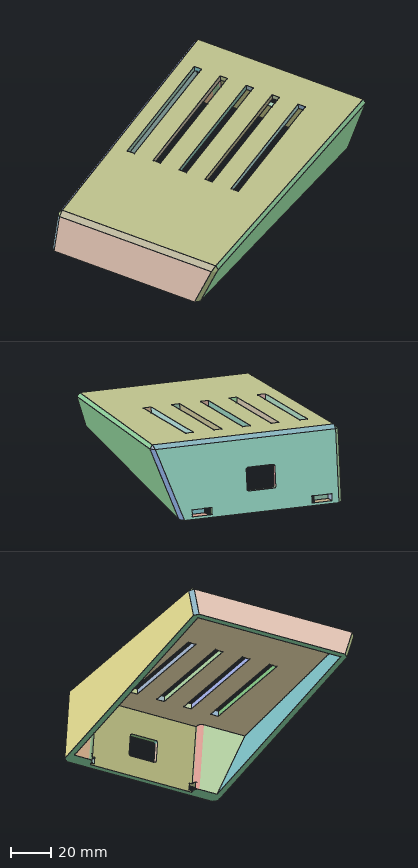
import cadquery as cq
import math

length = 148.0
bottom_width = 85.1
rear_height = 39.4
top_slope = 8.0
rear_lean = top_slope
front_lean = 16.5
right_lean = 20.0
wall = 3.0
edge_chamfer = 2.0

slot_count = 5
slot_width = 4.1
slot_length = 66.0
slot_pitch = 15.0
slot_middle_x = 42.0
slot_middle_y = 90.6

opening_depth = 2 * wall

plug_width = 15.0
plug_bottom = 11.2
plug_height = 12.0
plug_corner_radius = 1.0

latch_width = 10.4
latch_bottom = 1.5
latch_height = 3.5
latch_centres_x = (10.8, 73.5)

post_reach = wall + 4.0
post_edge_radius = 2.5
post_height = rear_height + 2 * wall
left_post_side_x = 13.8
right_post_side_x = 69.9


def tangent(degrees):
    return math.tan(math.radians(degrees))


rear_top_y = length - rear_height * tangent(rear_lean)
widest_x = bottom_width + rear_height * tangent(right_lean)


def offset_shift(degrees, inset):
    """Horizontal shift of a leaning wall moved inwards by inset."""
    return inset / math.cos(math.radians(degrees))


def wedge(inset):
    """Sharp-edged wedge with every face but the bottom moved inwards by inset."""
    front_y = offset_shift(front_lean, inset)
    rear_y = length - offset_shift(rear_lean, inset)
    top_at_front = rear_height - rear_top_y * tangent(top_slope) - offset_shift(top_slope, inset)

    def top_corner(bottom_y, lean_run):
        """Corner of the top line and a wall moving lean_run along Y per unit of height."""
        height = (top_at_front + bottom_y * tangent(top_slope)) / (1 - lean_run * tangent(top_slope))
        return bottom_y + lean_run * height, height

    side_profile = [
        (front_y, 0),
        (rear_y, 0),
        top_corner(rear_y, -tangent(rear_lean)),
        top_corner(front_y, tangent(front_lean)),
    ]
    right_x = bottom_width - offset_shift(right_lean, inset)
    top_right_x = right_x + rear_height * tangent(right_lean)
    prism = cq.Workplane("YZ").polyline(side_profile).close().extrude(top_right_x)
    end_profile = [
        (inset, 0),
        (right_x, 0),
        (top_right_x, rear_height),
        (inset, rear_height),
    ]
    cross_section = cq.Workplane("XZ").polyline(end_profile).close().extrude(-length)
    return prism.intersect(cross_section)


def rear_block(centre_x, width, height, depth):
    """Upright block ending at the rear edge of the bottom and reaching depth forwards."""
    return (
        cq.Workplane("XY")
        .box(width, depth, height, centered=(True, False, False))
        .translate((centre_x, length - depth, 0))
    )


def lean_on_rear_wall(block, distance_up):
    """Raise a block and tilt it square to the rear wall, distance_up along the wall."""
    raised = block.translate((0, 0, distance_up))
    return raised.rotate((0, length, 0), (1, length, 0), rear_lean)


outside = wedge(0).edges("not(<Z)").chamfer(edge_chamfer)
cavity = wedge(wall)

right_post_middle_x = (right_post_side_x + widest_x) / 2
right_post_width = widest_x - right_post_side_x
left_post = rear_block(left_post_side_x / 2, left_post_side_x, post_height, post_reach)
right_post = rear_block(right_post_middle_x, right_post_width, post_height, post_reach)
left_post = left_post.edges("|Z and >X and <Y").fillet(post_edge_radius)
right_post = right_post.edges("|Z and <X and <Y").fillet(post_edge_radius)
posts = lean_on_rear_wall(left_post.union(right_post), -wall)
result = outside.cut(cavity.cut(posts))

slot_middle_z = rear_height - (rear_top_y - slot_middle_y) * tangent(top_slope)
cutter_height = 3 * wall
slots = (
    cq.Workplane("XY")
    .rarray(slot_pitch, 1.5, slot_count, 1)
    .box(slot_width, slot_length, cutter_height)
    .rotate((0, 0, 0), (1, 0, 0), top_slope)
    .translate((slot_middle_x, slot_middle_y, slot_middle_z))
)
result = result.cut(slots)

plug = rear_block(slot_middle_x, plug_width, plug_height, opening_depth)
plug = plug.edges("|Y").fillet(plug_corner_radius)
result = result.cut(lean_on_rear_wall(plug, plug_bottom))
for latch_x in latch_centres_x:
    latch = rear_block(latch_x, latch_width, latch_height, opening_depth)
    result = result.cut(lean_on_rear_wall(latch, latch_bottom))